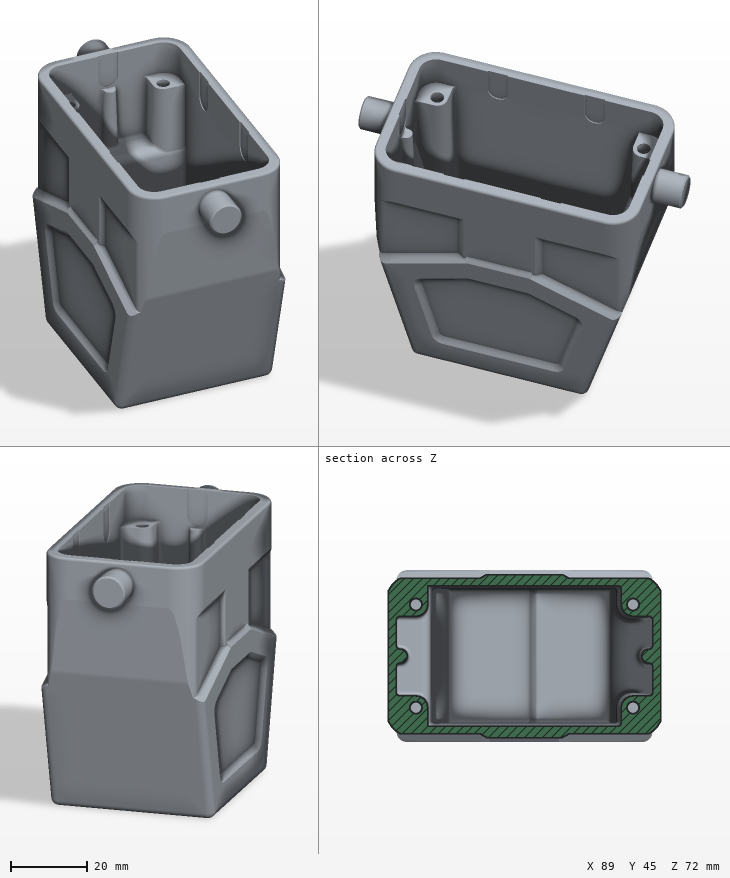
import cadquery as cq
import math

height = 72.0
collar_length = 73.0
collar_width = 42.9
collar_radius = 7.6
collar_base = 17.8
rim_round = 0.7
skirt_width = 45.0
skirt_round = 2.1
foot_half_length = 23.9
lower_flank_angle = 15.0
upper_flank_angle = 5.0
flank_start = 60.7
flank_blend = 5.6

roof_half_flat = 9.1
roof_height = 43.0
roof_angle = 20.0
roof_bevel = 1.8

crest_rise = 1.4

panel_half_width = 20.5
panel_inner_edge = 9.9
panel_top = 59.1
wall_run = 1.8
panel_edge_round = 2.1
panel_corner_round = 0.9

window_bottom = 7.8
window_top = 36.9
window_half_bottom = 17.6
window_half_top = 8.4
window_corner_height = 31.15
window_depth = 1.25
window_round = 3.1

pin_diameter = 9.0
pin_height = 65.95
pin_span = 89.0
pin_chamfer = 0.45

wall = 2.9
mouth_depth = 9.4
right_floor = 5.3
left_floor = 2.9
floor_step_low = 1.3
floor_step_high = 3.1
floor_half_width = 17.5
floor_round = 1.0
root_band = 2.7
root_round = 0.9

ledge_height = 44.5
ledge_edge = 24.8
ledge_round = 2.3
block_foot_x = 24.2
block_foot_z = 19.6
left_floor_edge = 19.8

post_x = 28.5
post_y = 13.5
post_radius = 2.85
post_draft = 1.8
post_hole_diameter = 3.6
post_hole_depth = 17.8
post_hole_draft = 1.5

rib_x = 32.6
rib_radius = 1.6
rib_draft = 2.0
rib_drop = 0.9

key_width = 5.6
key_depth = 0.3
key_length = 10.15
key_x = 13.35

half_collar = collar_length / 2
lower_slope = math.tan(math.radians(lower_flank_angle))
upper_slope = math.tan(math.radians(upper_flank_angle))
bend_z = (half_collar - upper_slope * flank_start - foot_half_length) / (lower_slope - upper_slope)
bend_x = foot_half_length + lower_slope * bend_z
panel_depth = collar_width / 2 - panel_half_width
mouth_length = collar_length - 2 * wall
mouth_width = collar_width - 2 * wall
mouth_floor = height - mouth_depth
wall_across = wall / math.cos(math.radians(lower_flank_angle))
hair = 0.1
far = 2 * half_collar


def mirrored(points):
    """Close a half outline with its mirror image about the centre line."""
    return points + [(-across, up) for across, up in reversed(points)]


def along_y(points, half_width):
    """Extrude an X-Z outline equally to both sides of Y = 0."""
    return cq.Workplane("XZ").polyline(points).close().extrude(half_width, both=True)


def both_faces(front):
    """Repeat a feature of the -Y face on the +Y face."""
    return front.union(front.mirror("XZ"))


def flank_block(half_width):
    outline = mirrored([
        (foot_half_length, 0),
        (bend_x, bend_z),
        (half_collar, flank_start),
        (half_collar, height),
    ])
    block = along_y(outline, half_width)
    bends = cq.selectors.BoxSelector(
        (-far, -far, bend_z - hair), (far, far, bend_z + hair))
    return block.edges("|Y").edges(bends).fillet(flank_blend)


def collar():
    tube = (
        cq.Workplane("XY", origin=(0, 0, collar_base))
        .rect(collar_length, collar_width).extrude(height - collar_base)
        .edges("|Z").fillet(collar_radius)
        .faces(">Z").edges().fillet(rim_round)
    )
    return tube.intersect(flank_block(collar_width))


def skirt():
    bevel_depth = skirt_width / 2 - panel_half_width
    rise = math.tan(math.radians(roof_angle))
    corner = roof_half_flat - roof_bevel * math.tan(math.radians(roof_angle / 2))
    top = roof_height + roof_bevel
    roof = mirrored([
        (corner, top),
        (far, top - (far - corner) * rise),
        (far, -far),
    ])
    core = along_y(roof, panel_half_width)
    bevel_angle = math.degrees(math.atan(roof_bevel / bevel_depth))
    bevel = (
        cq.Workplane("XZ", origin=(0, -panel_half_width, 0))
        .polyline(roof).close().extrude(bevel_depth, taper=bevel_angle)
    )
    block = flank_block(skirt_width / 2)
    block = block.faces("<Y or >Y or <Z").edges("not >Z").fillet(skirt_round)
    return block.intersect(core.union(both_faces(bevel)).union(shoulder_crest()))


def shoulder_crest():
    """Steeper bevel that tops the level stretch of the shoulder on both faces."""
    outline = mirrored([
        (skirt_width / 2, roof_height),
        (collar_width / 2, roof_height + crest_rise),
    ])
    return (
        cq.Workplane("YZ", origin=(-roof_half_flat, 0, 0))
        .polyline(outline).close().extrude(2 * roof_half_flat)
    )


def panel_recess(side):
    """Sunken panel between the centre strip and one rounded collar corner, open at the side."""
    draft = math.degrees(math.atan(wall_run / panel_depth))
    outline = [
        (side * panel_inner_edge, panel_top),
        (side * far, panel_top),
        (side * far, 0),
        (side * panel_inner_edge, 0),
    ]
    recess = (
        cq.Workplane("XZ", origin=(0, -collar_width / 2, 0))
        .polyline(outline).close().extrude(-panel_depth, taper=draft)
    )
    mitre = cq.selectors.NearestToPointSelector((
        side * (panel_inner_edge + wall_run / 2),
        -(collar_width / 2 + panel_half_width) / 2,
        panel_top - wall_run / 2,
    ))
    return both_faces(recess.edges(mitre).fillet(panel_corner_round))


def round_panel_edges(body, side):
    """Ease the upright edges where the panel floors run out into the collar corner."""
    corner_x = side * (half_collar - collar_radius)
    end_x = side * half_collar
    region = cq.selectors.BoxSelector(
        (corner_x, -collar_width / 2, collar_base),
        (end_x, collar_width / 2, panel_top))
    uprights = body.edges("|Z").edges(region)
    return uprights.fillet(panel_edge_round)


def window_recess():
    draft = math.degrees(math.atan(wall_run / window_depth))
    corner_x = window_half_bottom + lower_slope * (window_corner_height - window_bottom)
    outline = mirrored([
        (window_half_bottom, window_bottom),
        (corner_x, window_corner_height),
        (window_half_top, window_top),
    ])
    pentagon = cq.Sketch().polygon(outline + outline[:1]).vertices().fillet(window_round)
    return both_faces(
        cq.Workplane("XZ", origin=(0, -skirt_width / 2, 0))
        .placeSketch(pentagon).extrude(-window_depth, taper=draft)
    )


def pins():
    return (
        cq.Workplane("YZ", origin=(-pin_span / 2, 0, pin_height))
        .circle(pin_diameter / 2).extrude(pin_span)
        .faces("<X or >X").chamfer(pin_chamfer)
    )


def mouth():
    return (
        cq.Workplane("XY", origin=(0, 0, mouth_floor))
        .rect(mouth_length, mouth_width).extrude(mouth_depth)
        .edges("|Z").fillet(collar_radius - wall)
    )


def lower_cavity():
    end_x = mouth_length / 2
    right_floor_edge = foot_half_length + lower_slope * right_floor - wall_across
    right_bend_z = right_floor + (end_x - right_floor_edge) / lower_slope
    outline = [
        (-end_x, mouth_floor),
        (-end_x, ledge_height),
        (-ledge_edge, ledge_height),
        (-block_foot_x, block_foot_z),
        (-left_floor_edge, left_floor),
        (floor_step_low, left_floor),
        (floor_step_high, right_floor),
        (right_floor_edge, right_floor),
        (end_x, right_bend_z),
        (end_x, mouth_floor),
    ]
    cavity = along_y(outline, mouth_width)
    ledge = cq.selectors.NearestToPointSelector((-ledge_edge, 0, ledge_height))
    cavity = cavity.edges("|Y").edges(ledge).fillet(ledge_round)
    drafted = (
        cq.Workplane("YZ", origin=(-far, 0, 0))
        .polyline(mirrored([(floor_half_width, left_floor), (mouth_width / 2, mouth_floor)]))
        .close().extrude(2 * far)
    )
    cavity = cavity.intersect(drafted)
    floors = cq.selectors.BoxSelector(
        (-far, -far, left_floor - hair), (far, far, right_floor + hair))
    return cavity.edges(floors).fillet(floor_round)


def screw_post():
    """Post that fills one inner corner, rounded about its screw hole and widening downwards."""
    reach = half_collar
    return (
        cq.Workplane("XY", origin=(0, 0, mouth_floor))
        .moveTo(post_x - post_radius, post_y)
        .radiusArc((post_x, post_y - post_radius), -post_radius)
        .lineTo(reach, post_y - post_radius)
        .lineTo(reach, reach)
        .lineTo(post_x - post_radius, reach)
        .close().extrude(-mouth_floor, taper=-post_draft)
    )


def end_rib():
    rib_top = mouth_floor - rib_drop
    return (
        cq.Workplane("XY", origin=(rib_x, 0, rib_top))
        .circle(rib_radius).extrude(-rib_top, taper=-rib_draft)
    )


def four_corners(shape):
    pair = shape.union(shape.mirror("YZ"))
    return pair.union(pair.mirror("XZ"))


def round_roots(cavity):
    """Round the foot of the ledge rim and the roots of posts and ribs along the walls."""
    ledge_end = -ledge_edge - ledge_round - hair
    ledge_rim = cq.selectors.BoxSelector(
        (-far, -far, ledge_height - hair), (ledge_end, far, ledge_height + hair))
    roots = cavity.edges(ledge_rim).vals()
    middle_z = (ledge_height + mouth_floor) / 2
    post_face = post_x - post_radius
    for x_side in (-1, 1):
        end_x = x_side * mouth_length / 2
        end_wall = cq.selectors.BoxSelector(
            (end_x - hair, -mouth_width, middle_z - root_band),
            (end_x + hair, mouth_width, middle_z + root_band))
        roots += cavity.edges(end_wall).vals()
        for y_side in (-1, 1):
            long_wall = cq.selectors.BoxSelector(
                (x_side * post_face, y_side * floor_half_width, block_foot_z),
                (x_side * block_foot_x, y_side * mouth_width / 2, ledge_height))
            roots += cavity.edges(long_wall).vals()
    return cavity.newObject(roots).fillet(root_round)


def post_holes():
    spots = [(x, y) for x in (-post_x, post_x) for y in (-post_y, post_y)]
    return (
        cq.Workplane("XY", origin=(0, 0, mouth_floor)).pushPoints(spots)
        .circle(post_hole_diameter / 2).extrude(-post_hole_depth, taper=post_hole_draft)
    )


def key_grooves():
    """Six shallow round-ended grooves: two in each long wall and one in each end wall."""
    centre_z = height - key_length + key_width / 2
    long_walls = (
        cq.Workplane("XZ").pushPoints([(-key_x, centre_z), (key_x, centre_z)])
        .circle(key_width / 2).extrude(mouth_width / 2 + key_depth, both=True)
    )
    end_walls = (
        cq.Workplane("YZ").center(0, centre_z)
        .circle(key_width / 2).extrude(mouth_length / 2 + key_depth, both=True)
    )
    open_height = height - centre_z
    above = cq.Workplane("XY", origin=(0, 0, centre_z))
    long_slots = (
        above.pushPoints([(-key_x, 0), (key_x, 0)])
        .rect(key_width, mouth_width + 2 * key_depth).extrude(open_height)
    )
    end_slots = above.rect(mouth_length + 2 * key_depth, key_width).extrude(open_height)
    return long_walls.union(end_walls).union(long_slots).union(end_slots)


shell = collar()
for side in (-1, 1):
    shell = shell.cut(panel_recess(side))
    shell = round_panel_edges(shell, side)
shell = shell.union(skirt()).cut(window_recess()).union(pins())

rib = end_rib()
ribs = rib.union(rib.mirror("YZ"))
cavity = lower_cavity().cut(four_corners(screw_post())).cut(ribs)
cavity = round_roots(cavity)
result = shell.cut(mouth()).cut(cavity).cut(post_holes()).cut(key_grooves())